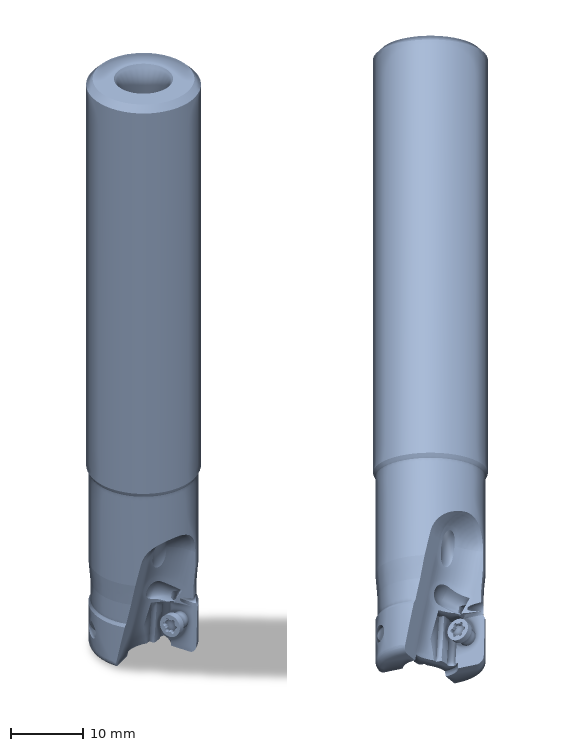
import cadquery as cq
import math

LENGTH = 90.8
SHANK_RADIUS = 15.9 / 2
SHANK_CHAMFER = 0.9
SHOULDER_TOP = 28.9
SHOULDER_HEIGHT = 0.6
NECK_RADIUS = 7.6
TAPER_TOP = 13.9
TAPER_BOTTOM = 10.6
WAIST_RADIUS = 7.35
HEAD_TOP = 7.4
HEAD_EDGE_HEIGHT = 0.45
HEAD_EDGE_FILLET = 1.1

BORE_RADIUS = 1.9
COUNTERSINK_RADIUS = 4.1
COUNTERSINK_ANGLE = 60.0
BORE_FLOOR = 32.7
DUCT_RADIUS = 1.2
DUCT_START = cq.Vector(0, -0.8, BORE_FLOOR + 0.9)
DUCT_MOUTH = cq.Vector(3.8, -1.5, 15.9)
DUCT_OVERRUN = 3.6

TEETH = 2
FLUTE_CORNER_RADIUS = 4.5
FLUTE_TILT = 12.0
FLUTE_TWIST = 7.0
FLUTE_LEAN = 2.0
FLUTE_BALL = cq.Vector(7.9, -2.8, 16.4)
FLUTE_SIZE = 36.3

SEAT_TILT = 6.0
SEAT_DEPTH = 1.9
POCKET_WALL_X = 1.7
CLEARANCE_WALL_X = 0.9
POCKET_TOP = 7.5
POCKET_SIZE = 10.9
POCKET_REACH = 2 * SEAT_DEPTH
SIDE_RELIEF_RADIUS = 0.6
SIDE_RELIEF_X = 2.2
TOP_RELIEF_RADIUS = 0.9
TOP_RELIEF_X = 3.6
TOP_RELIEF_HEIGHT = 8.3
TOP_RELIEF_Y = -0.5
CORNER_RELIEF_RADIUS = 1.5
CORNER_RELIEF_START = cq.Vector(2.7, -1.0, 10.0)
CORNER_RELIEF_END = cq.Vector(5.1, 0.7, 8.4)
END_RECESS_RADIUS = 3.8
END_RECESS_DEPTH = 0.8

SCREW_X = 4.6
SCREW_HEIGHT = 4.45
SCREW_RADIUS = 2.45 / 2
SCREW_LENGTH = 2.7
SCREW_END_CHAMFER = 0.4
SCREW_STANDOFF = 1.4
SCREW_HEAD_RADIUS = 1.6
SCREW_HEAD_CONE = 0.45
SCREW_HEAD_THICKNESS = 1.0
SOCKET_RADIUS = 0.9
SOCKET_DEPTH = 0.7
LOBES = 6
LOBE_RADIUS = 0.3


def around_teeth(shape):
    """One copy of a +X tooth shape for each tooth."""
    return [shape.rotate((0, 0, 0), (0, 0, 1), 360 / TEETH * i) for i in range(TEETH)]


def rod(radius, start, end):
    """Cylinder between two points."""
    axis = end - start
    return cq.Workplane(cq.Solid.makeCylinder(radius, axis.Length, start, axis))


def turned_blank():
    points = [
        (0, 0),
        (NECK_RADIUS, 0),
        (NECK_RADIUS, HEAD_TOP - HEAD_EDGE_HEIGHT),
        (WAIST_RADIUS, HEAD_TOP),
        (WAIST_RADIUS, TAPER_BOTTOM),
        (NECK_RADIUS, TAPER_TOP),
        (NECK_RADIUS, SHOULDER_TOP - SHOULDER_HEIGHT),
        (SHANK_RADIUS, SHOULDER_TOP),
        (SHANK_RADIUS, LENGTH),
        (0, LENGTH),
    ]
    blank = cq.Workplane("XZ").polyline(points).close().revolve(360, (0, 0), (0, 1))
    blank = blank.faces("<Z").edges().fillet(HEAD_EDGE_FILLET)
    return blank.faces(">Z").edges().chamfer(SHANK_CHAMFER)


def centre_bore():
    cone_depth = (COUNTERSINK_RADIUS - BORE_RADIUS) / math.tan(math.radians(COUNTERSINK_ANGLE / 2))
    points = [
        (0, BORE_FLOOR),
        (BORE_RADIUS, BORE_FLOOR),
        (BORE_RADIUS, LENGTH - cone_depth),
        (COUNTERSINK_RADIUS, LENGTH),
        (0, LENGTH),
    ]
    return cq.Workplane("XZ").polyline(points).close().revolve(360, (0, 0), (0, 1))


def coolant_duct():
    direction = (DUCT_MOUTH - DUCT_START).normalized()
    return rod(DUCT_RADIUS, DUCT_START, DUCT_MOUTH + direction * DUCT_OVERRUN)


def flute():
    """Block whose inner top corner is a ball; its floor tilts towards the axis going down."""
    r = FLUTE_CORNER_RADIUS
    block = cq.Workplane().box(FLUTE_SIZE, FLUTE_SIZE, FLUTE_SIZE, centered=False)
    block = block.translate((-r, r - FLUTE_SIZE, r - FLUTE_SIZE))
    block = block.edges("(<X and >Y) or (<X and >Z) or (>Y and >Z)").fillet(r)
    block = block.rotate((0, 0, 0), (0, 0, 1), FLUTE_TWIST)
    block = block.rotate((0, 0, 0), (0, 1, 0), FLUTE_TILT)
    block = block.rotate((0, 0, 0), (1, 0, 0), -FLUTE_LEAN)
    return block.translate(FLUTE_BALL.toTuple())


def tilt_to_seat(shape):
    """Lean a shape built about the plane y = 0 onto the seat plane."""
    return shape.rotate((0, 0, 0), (1, 0, 0), -SEAT_TILT).translate((0, SEAT_DEPTH, 0))


def pocket():
    """Insert pocket with its seat on y = 0, before tilting."""
    bottom = POCKET_TOP - POCKET_SIZE
    space = cq.Workplane().box(POCKET_SIZE, POCKET_REACH, POCKET_SIZE, centered=False)
    space = space.translate((POCKET_WALL_X, -POCKET_REACH, bottom))
    clearance = cq.Workplane().box(POCKET_SIZE, POCKET_REACH - SEAT_DEPTH, POCKET_SIZE, centered=False)
    clearance = clearance.translate((CLEARANCE_WALL_X, -POCKET_REACH, bottom))
    side_relief = rod(
        SIDE_RELIEF_RADIUS,
        cq.Vector(SIDE_RELIEF_X, 0, bottom),
        cq.Vector(SIDE_RELIEF_X, 0, POCKET_TOP),
    )
    top_relief = rod(
        TOP_RELIEF_RADIUS,
        cq.Vector(TOP_RELIEF_X, TOP_RELIEF_Y, TOP_RELIEF_HEIGHT),
        cq.Vector(TOP_RELIEF_X + POCKET_SIZE, TOP_RELIEF_Y, TOP_RELIEF_HEIGHT),
    )
    return tilt_to_seat(space.union(clearance).union(side_relief).union(top_relief))


def corner_relief():
    """Ball-ended groove above the inner corner of the pocket, sloping down and outwards."""
    ball = cq.Workplane().sphere(CORNER_RELIEF_RADIUS).translate(CORNER_RELIEF_START.toTuple())
    return rod(CORNER_RELIEF_RADIUS, CORNER_RELIEF_START, CORNER_RELIEF_END).union(ball)


def screw_hole():
    hole = rod(
        SCREW_RADIUS,
        cq.Vector(SCREW_X, 0, SCREW_HEIGHT),
        cq.Vector(SCREW_X, POCKET_SIZE, SCREW_HEIGHT),
    )
    return tilt_to_seat(hole)


def clamping_screw():
    """Countersunk screw with a lobed socket, standing proud of the seat."""
    cone_top = SCREW_STANDOFF + SCREW_HEAD_CONE
    head_top = cone_top + SCREW_HEAD_THICKNESS
    points = [
        (0, -SCREW_LENGTH),
        (SCREW_RADIUS - SCREW_END_CHAMFER, -SCREW_LENGTH),
        (SCREW_RADIUS, SCREW_END_CHAMFER - SCREW_LENGTH),
        (SCREW_RADIUS, SCREW_STANDOFF),
        (SCREW_HEAD_RADIUS, cone_top),
        (SCREW_HEAD_RADIUS, head_top),
        (0, head_top),
    ]
    screw = cq.Workplane("XY").polyline(points).close().revolve(360, (0, 0), (0, 1))
    top = cq.Workplane("XZ", origin=(0, head_top, 0))
    socket = top.circle(SOCKET_RADIUS).extrude(SOCKET_DEPTH)
    lobes = top.polarArray(SOCKET_RADIUS, 0, 360, LOBES).circle(LOBE_RADIUS).extrude(SOCKET_DEPTH)
    screw = screw.cut(socket.union(lobes))
    screw = screw.rotate((0, 0, 0), (0, 0, 1), 180)
    return tilt_to_seat(screw.translate((SCREW_X, 0, SCREW_HEIGHT)))


def cutter_body():
    end_recess = cq.Workplane().circle(END_RECESS_RADIUS).extrude(END_RECESS_DEPTH)
    body = turned_blank().cut(centre_bore()).cut(end_recess)
    for feature in (flute(), pocket(), corner_relief(), coolant_duct(), screw_hole()):
        for copy in around_teeth(feature):
            body = body.cut(copy)
    return body


body = cutter_body()
screws = around_teeth(clamping_screw())

result = cq.Compound.makeCompound([body.val(), *[screw.val() for screw in screws]])